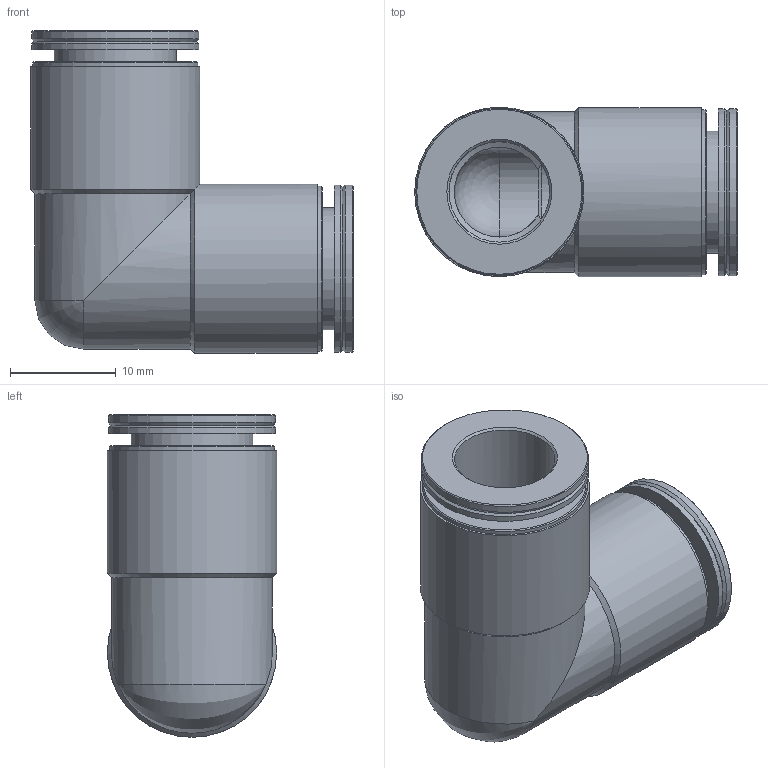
import cadquery as cq


leg_length = 22.5
sleeve_radius = 16.0 / 2
body_radius = 15.2 / 2
lip_radius = 15.6 / 2
flange_radius = 15.8 / 2
shank_radius = 11.52 / 2
tube_bore_radius = 9.52 / 2
passage_radius = 8.5 / 2

body_end = 7.1
sleeve_start = body_end + sleeve_radius - body_radius
sleeve_end = 19.1
lip_end = 19.55
edge_chamfer = 0.1

upper_flange_thickness = 0.75
groove_width = 0.5
groove_rise = 0.3
groove_depth = 0.2
lower_flange_thickness = 0.55

corner_center = -3.0
seat_start = 3.67
seat_length = 0.29
mouth_chamfer = 0.2

wedge_reach = 2 * leg_length


def revolve_profile(points):
    """Revolve an (r, z) outline around the Z axis."""
    return cq.Workplane("XZ").polyline(points).close().revolve(360, (0, 0, 0), (0, 1, 0))


def mitre_wedge(floor):
    """Region with z >= x and z >= floor, where one leg meets the other."""
    outline = [
        (floor, floor),
        (wedge_reach, wedge_reach),
        (-wedge_reach, wedge_reach),
        (-wedge_reach, floor),
    ]
    return cq.Workplane("XZ").polyline(outline).close().extrude(wedge_reach, both=True)


def other_leg(leg):
    """Swap the X and Z axes to turn the vertical leg into the horizontal one."""
    return leg.rotate((0, 0, 0), (1, 0, 1), 180)


def leg_exterior():
    groove_top = leg_length - upper_flange_thickness
    groove_bottom = groove_top - groove_width
    flange_bottom = groove_bottom - lower_flange_thickness
    outline = [
        (0, -body_radius),
        (body_radius, -body_radius),
        (body_radius, body_end),
        (sleeve_radius, sleeve_start),
        (sleeve_radius, sleeve_end),
        (lip_radius, sleeve_end),
        (lip_radius, lip_end - edge_chamfer),
        (lip_radius - edge_chamfer, lip_end),
        (shank_radius, lip_end),
        (shank_radius, flange_bottom),
        (flange_radius, flange_bottom),
        (flange_radius, groove_bottom),
        (flange_radius - groove_depth, groove_top - groove_rise),
        (flange_radius, groove_top),
        (flange_radius, leg_length - edge_chamfer),
        (flange_radius - edge_chamfer, leg_length),
        (0, leg_length),
    ]
    return revolve_profile(outline).intersect(mitre_wedge(corner_center))


def rounded_corner():
    """Outer bend: the body circle segment beyond the bend axis, swung a quarter turn."""
    half_chord = (body_radius**2 - corner_center**2) ** 0.5
    segment = (
        cq.Workplane("XY", origin=(0, 0, corner_center))
        .moveTo(corner_center, -half_chord)
        .threePointArc((-body_radius, 0), (corner_center, half_chord))
        .close()
    )
    return segment.revolve(90, (corner_center, 1, 0), (corner_center, 0, 0))


def leg_passage():
    outline = [
        (0, 0),
        (passage_radius, 0),
        (passage_radius, seat_start),
        (tube_bore_radius, seat_start + seat_length),
        (tube_bore_radius, leg_length - mouth_chamfer),
        (tube_bore_radius + mouth_chamfer, leg_length),
        (0, leg_length),
    ]
    return revolve_profile(outline)


exterior = leg_exterior()
passage = leg_passage()
passage_corner = cq.Workplane("XY").sphere(passage_radius)

result = (
    exterior.union(other_leg(exterior))
    .union(rounded_corner())
    .cut(passage_corner)
    .cut(passage)
    .cut(other_leg(passage))
)